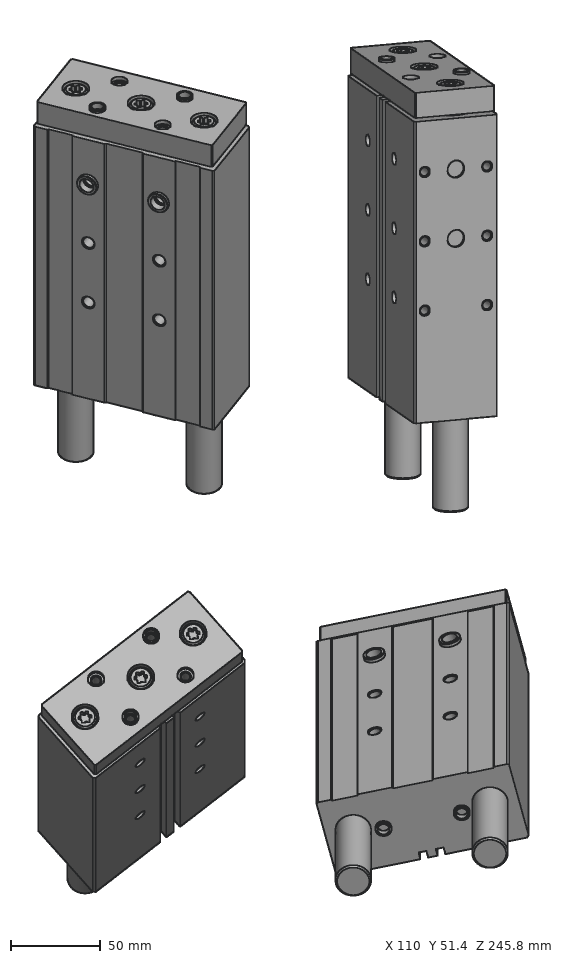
import cadquery as cq
import math


TOTAL_HEIGHT = 245.8
HOUSING_BOTTOM = 54.8
HOUSING_HEIGHT = 173.3
HOUSING_TOP = HOUSING_BOTTOM + HOUSING_HEIGHT
PLATE_GAP = 1.7
PLATE_THICKNESS = 14.5
PLATE_BOTTOM = HOUSING_TOP + PLATE_GAP
PLATE_TOP = PLATE_BOTTOM + PLATE_THICKNESS

HOUSING_WIDTH = 110.0
HOUSING_DEPTH = 49.2
HALF_WIDTH = HOUSING_WIDTH / 2
FRONT_Y = -HOUSING_DEPTH / 2
BACK_Y = HOUSING_DEPTH / 2
EDGE_CHAMFER = 1.2
FRONT_CHAMFER_DEPTH = 0.5
RELIEF_DEPTH = 0.7
OUTER_RELIEF_EDGE = 46.7
INNER_RELIEF_EDGE = 31.5
MIDDLE_RELIEF_EDGE = 11.0
SENSOR_SLOT_X = 5.0
SENSOR_SLOT_WIDTH = 4.5
SENSOR_SLOT_DEPTH = 4.5

PLATE_WIDTH = 107.0
PLATE_DEPTH = 47.2
PLATE_CHAMFER = 0.7
ROD_X = 39.0
ROD_Y = -2.5
ROD_DIAMETER = 20.0
ROD_CHAMFER = 1.0
PISTON_ROD_Y = -1.0
PISTON_ROD_DIAMETER = 9.8
PISTON_ROD_INSERTION = 24.5

SCREW_POCKET_DIAMETER = 15.0
SCREW_POCKET_DEPTH = 8.4
SCREW_HEAD_DIAMETER = 13.0
SCREW_RIM_DIAMETER = 11.0
SCREW_HEAD_HEIGHT = 7.9
SOCKET_DEPTH = 4.0
SOCKET_DIAMETER = 7.4
SOCKET_CORE_DIAMETER = 5.5
SOCKET_LOBE_DIAMETER = 2.0
SOCKET_LOBES = 6

SMALL_SLEEVE_DIAMETER = 9.0
SMALL_SLEEVE_BORE = 6.6
SMALL_SLEEVE_LENGTH = 4.0
LARGE_SLEEVE_DIAMETER = 12.0
LARGE_SLEEVE_BORE = 8.5
LARGE_SLEEVE_LENGTH = 5.0
SLEEVE_CHAMFER = 0.2
SMALL_SLEEVE_PROTRUSION = TOTAL_HEIGHT - PLATE_TOP
LARGE_SLEEVE_PROTRUSION = 2.2
SMALL_SEAT_DEPTH = SMALL_SLEEVE_LENGTH - SMALL_SLEEVE_PROTRUSION
LARGE_SEAT_DEPTH = LARGE_SLEEVE_LENGTH - LARGE_SLEEVE_PROTRUSION

PLATE_HOLE_X = 20.0
PLATE_HOLE_PITCH_Y = 30.0
SMALL_BORE = 5.0
SMALL_BORE_MOUTH = 6.1
LARGE_BORE = 6.6
LARGE_BORE_MOUTH = 7.9
BOTTOM_SLEEVE_X = 22.4
FRONT_HOLE_X = 21.6
SIDE_HOLE_Y = 18.5
SIDE_HOLE_DEPTH = 12.0
DRILL_TIP_ANGLE = 118
TOP_ROW_Z = 198.9
ROW_PITCH = 39.8
ROW_HEIGHTS = [TOP_ROW_Z - row * ROW_PITCH for row in range(3)]

PORT_DIAMETER = 9.8
PLUG_RECESS = 1.5
PLUG_THICKNESS = 3.5
PORT_DEPTH = PLUG_RECESS + PLUG_THICKNESS
PORT_HEIGHTS = ROW_HEIGHTS[:2]

PLATE_HOLES = [
    (side_x * PLATE_HOLE_X, PISTON_ROD_Y + side_y * PLATE_HOLE_PITCH_Y / 2)
    for side_x in (-1, 1)
    for side_y in (-1, 1)
]
SLEEVED_PLATE_HOLES = [(x, y) for x, y in PLATE_HOLES if x * y > 0]
FRONT_SLEEVE_POINTS = [(side * FRONT_HOLE_X, FRONT_Y, TOP_ROW_Z) for side in (-1, 1)]
BOTTOM_SLEEVE_POINTS = [(side * BOTTOM_SLEEVE_X, 0, HOUSING_BOTTOM) for side in (-1, 1)]
SCREW_POINTS = [(-ROD_X, ROD_Y), (0, PISTON_ROD_Y), (ROD_X, ROD_Y)]

UP = (0, 0, 1)
DOWN = (0, 0, -1)
INTO_FRONT = (0, 1, 0)
OUT_OF_FRONT = (0, -1, 0)
INTO_SIDE = (1, 0, 0)


def cylinder(diameter, length, start, direction):
    """Cylinder that runs from start along direction."""
    solid = cq.Solid.makeCylinder(diameter / 2, length, cq.Vector(*start), cq.Vector(*direction))
    return cq.Workplane(obj=solid)


def cone(start_diameter, end_diameter, length, start, direction):
    """Cone that tapers from start along direction."""
    solid = cq.Solid.makeCone(
        start_diameter / 2, end_diameter / 2, length, cq.Vector(*start), cq.Vector(*direction)
    )
    return cq.Workplane(obj=solid)


def countersink(mouth, bore, start, direction):
    """45 degree entry chamfer of a hole."""
    return cone(mouth, bore, (mouth - bore) / 2, start, direction)


def housing_blank():
    """Extruded profile with three shallow relief strips along its front face."""
    relief_y = FRONT_Y + RELIEF_DEPTH
    right_half = [
        (MIDDLE_RELIEF_EDGE, relief_y),
        (MIDDLE_RELIEF_EDGE + RELIEF_DEPTH, FRONT_Y),
        (INNER_RELIEF_EDGE, FRONT_Y),
        (INNER_RELIEF_EDGE, relief_y),
        (OUTER_RELIEF_EDGE - RELIEF_DEPTH, relief_y),
        (OUTER_RELIEF_EDGE, FRONT_Y),
        (HALF_WIDTH - EDGE_CHAMFER, FRONT_Y),
        (HALF_WIDTH, FRONT_Y + FRONT_CHAMFER_DEPTH),
        (HALF_WIDTH, BACK_Y - EDGE_CHAMFER),
        (HALF_WIDTH - EDGE_CHAMFER, BACK_Y),
    ]
    left_half = [(-x, y) for x, y in reversed(right_half)]
    profile = cq.Workplane("XY", origin=(0, 0, HOUSING_BOTTOM)).polyline(right_half + left_half)
    return profile.close().extrude(HOUSING_HEIGHT)


def sensor_slots():
    """Two slots along the back face."""
    return (
        cq.Workplane("XY", origin=(0, BACK_Y - SENSOR_SLOT_DEPTH / 2, HOUSING_BOTTOM))
        .pushPoints([(-SENSOR_SLOT_X, 0), (SENSOR_SLOT_X, 0)])
        .rect(SENSOR_SLOT_WIDTH, SENSOR_SLOT_DEPTH)
        .extrude(HOUSING_HEIGHT)
    )


def side_hole(y, z):
    """Blind drilled hole in the -X face, with an entry chamfer and a conical bottom."""
    mouth = (-HALF_WIDTH, y, z)
    tip_length = SMALL_BORE / 2 / math.tan(math.radians(DRILL_TIP_ANGLE / 2))
    tip_start = (-HALF_WIDTH + SIDE_HOLE_DEPTH, y, z)
    hole = cylinder(SMALL_BORE, SIDE_HOLE_DEPTH, mouth, INTO_SIDE)
    hole = hole.union(cone(SMALL_BORE, 0, tip_length, tip_start, INTO_SIDE))
    return hole.union(countersink(SMALL_BORE_MOUTH, SMALL_BORE, mouth, INTO_SIDE))


def make_housing():
    """Extruded housing with all its bores, seats, mounting holes and ports."""
    housing = housing_blank().cut(sensor_slots())

    for side in (-1, 1):
        rod_start = (side * ROD_X, ROD_Y, HOUSING_BOTTOM)
        housing = housing.cut(cylinder(ROD_DIAMETER, HOUSING_HEIGHT, rod_start, UP))
    piston_start = (0, PISTON_ROD_Y, HOUSING_TOP)
    housing = housing.cut(cylinder(PISTON_ROD_DIAMETER, PISTON_ROD_INSERTION, piston_start, DOWN))

    for side in (-1, 1):
        for z in ROW_HEIGHTS:
            seat_depth = LARGE_SEAT_DEPTH if z == TOP_ROW_Z else 0
            mouth = (side * FRONT_HOLE_X, FRONT_Y + seat_depth, z)
            housing = housing.cut(cylinder(LARGE_BORE, HOUSING_DEPTH, mouth, INTO_FRONT))
            housing = housing.cut(countersink(LARGE_BORE_MOUTH, LARGE_BORE, mouth, INTO_FRONT))
    for mouth in FRONT_SLEEVE_POINTS:
        housing = housing.cut(cylinder(LARGE_SLEEVE_DIAMETER, LARGE_SEAT_DEPTH, mouth, INTO_FRONT))
    for mouth in BOTTOM_SLEEVE_POINTS:
        housing = housing.cut(cylinder(SMALL_SLEEVE_DIAMETER, SMALL_SEAT_DEPTH, mouth, UP))

    for z in ROW_HEIGHTS:
        for side in (-1, 1):
            housing = housing.cut(side_hole(side * SIDE_HOLE_Y, z))
    for z in PORT_HEIGHTS:
        housing = housing.cut(cylinder(PORT_DIAMETER, PORT_DEPTH, (-HALF_WIDTH, 0, z), INTO_SIDE))
    return housing


def plate_hole(x, y):
    """Through hole of the yoke plate with a sleeve seat and a chamfer at the seat floor."""
    seat_floor = (x, y, PLATE_TOP - SMALL_SEAT_DEPTH)
    hole = cylinder(SMALL_BORE, PLATE_THICKNESS, (x, y, PLATE_TOP), DOWN)
    hole = hole.union(cylinder(SMALL_SLEEVE_DIAMETER, SMALL_SEAT_DEPTH, (x, y, PLATE_TOP), DOWN))
    return hole.union(countersink(SMALL_BORE_MOUTH, SMALL_BORE, seat_floor, DOWN))


def screw_head(x, y):
    """Cylindrical head with a chamfered rim and a six-lobed socket."""
    rim_chamfer = (SCREW_HEAD_DIAMETER - SCREW_RIM_DIAMETER) / 2
    base = (x, y, PLATE_TOP - SCREW_POCKET_DEPTH)
    head_top = (x, y, PLATE_TOP - SCREW_POCKET_DEPTH + SCREW_HEAD_HEIGHT)
    head = cylinder(SCREW_HEAD_DIAMETER, SCREW_HEAD_HEIGHT, base, UP).faces(">Z").chamfer(rim_chamfer)
    socket = cylinder(SOCKET_CORE_DIAMETER, SOCKET_DEPTH, head_top, DOWN)
    lobe_radius = (SOCKET_DIAMETER - SOCKET_LOBE_DIAMETER) / 2
    for lobe in range(SOCKET_LOBES):
        angle = math.pi / 2 + 2 * math.pi * lobe / SOCKET_LOBES
        lobe_x = x + lobe_radius * math.cos(angle)
        lobe_y = y + lobe_radius * math.sin(angle)
        lobe_top = (lobe_x, lobe_y, head_top[2])
        socket = socket.union(cylinder(SOCKET_LOBE_DIAMETER, SOCKET_DEPTH, lobe_top, DOWN))
    return head.cut(socket)


def make_yoke():
    """Plate, guide rods, piston rod and screws that move as one piece."""
    yoke = (
        cq.Workplane("XY", origin=(0, 0, PLATE_BOTTOM))
        .rect(PLATE_WIDTH, PLATE_DEPTH)
        .extrude(PLATE_THICKNESS)
        .edges("|Z")
        .chamfer(PLATE_CHAMFER)
    )
    for x, y in PLATE_HOLES:
        yoke = yoke.cut(plate_hole(x, y))
    for x, y in SCREW_POINTS:
        pocket = cylinder(SCREW_POCKET_DIAMETER, SCREW_POCKET_DEPTH, (x, y, PLATE_TOP), DOWN)
        yoke = yoke.cut(pocket).union(screw_head(x, y))
    for side in (-1, 1):
        rod = cylinder(ROD_DIAMETER, PLATE_BOTTOM, (side * ROD_X, ROD_Y, 0), UP)
        yoke = yoke.union(rod.faces("<Z").chamfer(ROD_CHAMFER))
    piston_rod_length = PISTON_ROD_INSERTION + PLATE_GAP
    piston_rod_top = (0, PISTON_ROD_Y, PLATE_BOTTOM)
    return yoke.union(cylinder(PISTON_ROD_DIAMETER, piston_rod_length, piston_rod_top, DOWN))


def make_sleeve(diameter, bore, length, seat_floor, direction):
    """Locating sleeve standing on its seat floor, chamfered outside at its free end."""
    free_end = cq.DirectionMinMaxSelector(cq.Vector(*direction))
    sleeve = cylinder(diameter, length, seat_floor, direction)
    sleeve = sleeve.faces(free_end).chamfer(SLEEVE_CHAMFER)
    return sleeve.cut(cylinder(bore, length, seat_floor, direction))


def make_small_sleeve(seat_floor, direction):
    return make_sleeve(
        SMALL_SLEEVE_DIAMETER, SMALL_SLEEVE_BORE, SMALL_SLEEVE_LENGTH, seat_floor, direction
    )


def make_large_sleeve(seat_floor, direction):
    return make_sleeve(
        LARGE_SLEEVE_DIAMETER, LARGE_SLEEVE_BORE, LARGE_SLEEVE_LENGTH, seat_floor, direction
    )


def make_plug(z):
    """Disc that closes a side port a little below the -X face."""
    return cylinder(PORT_DIAMETER, PLUG_THICKNESS, (-HALF_WIDTH + PLUG_RECESS, 0, z), INTO_SIDE)


housing = make_housing()
yoke = make_yoke()
plate_sleeves = [
    make_small_sleeve((x, y, PLATE_TOP - SMALL_SEAT_DEPTH), UP) for x, y in SLEEVED_PLATE_HOLES
]
bottom_sleeves = [
    make_small_sleeve((x, y, z + SMALL_SEAT_DEPTH), DOWN) for x, y, z in BOTTOM_SLEEVE_POINTS
]
front_sleeves = [
    make_large_sleeve((x, y + LARGE_SEAT_DEPTH, z), OUT_OF_FRONT) for x, y, z in FRONT_SLEEVE_POINTS
]
port_plugs = [make_plug(z) for z in PORT_HEIGHTS]

bodies = [housing, yoke, *plate_sleeves, *bottom_sleeves, *front_sleeves, *port_plugs]
result = cq.Compound.makeCompound([body.val() for body in bodies])